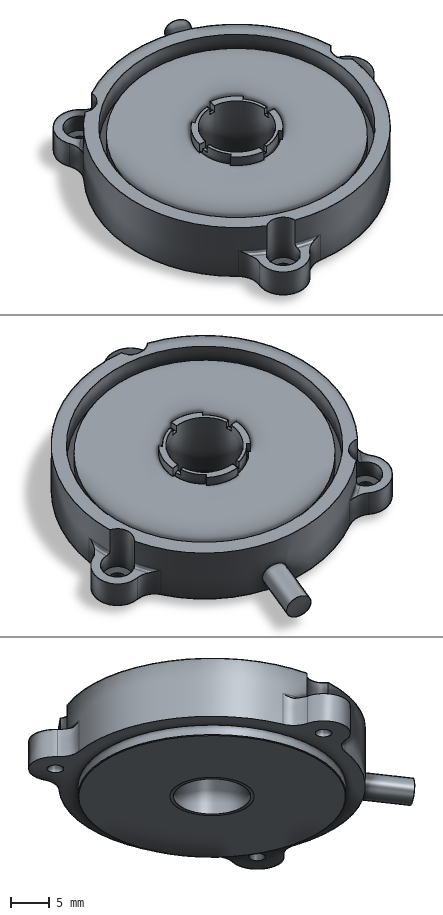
import cadquery as cq
import math

housing_radius = 20.0
housing_top = 10.0
foot_radius = 17.5
foot_height = 1.5
foot_chamfer = 0.1
recess_radius = 18.0
recess_floor = 6.5

lug_count = 3
lug_center_radius = 21.0
lug_radius = 3.5
lug_top = 5.5
lug_blend_radius = 3.0
lug_root_fillet = 0.5
screw_hole_radius = 1.1
counterbore_radius = 2.2
counterbore_floor = 2.95

disc_radius = 17.0
disc_top = 8.4
disc_hole_radius = 5.75

bore_radius = 5.0
hub_radius = 5.5
hub_top = 9.9
tab_radius = 6.0
tab_count = 4
tab_start_angle = -25.0
tab_end_angle = 19.0
slot_end_angle = 28.0
slot_depth = 1.1

cable_radius = 1.8
cable_height = 3.95
cable_end_x = -26.75
cable_inner_x = -recess_radius


def disc_at(radius, bottom, top, x=0.0, y=0.0):
    """Upright cylinder between two heights."""
    return cq.Workplane("XY", origin=(x, y, bottom)).circle(radius).extrude(top - bottom)


def polar(radius, angle):
    """Point at a radius and an angle in degrees."""
    return (radius * math.cos(math.radians(angle)), radius * math.sin(math.radians(angle)))


def ring_sector(inner, outer, start, end, bottom, top):
    """Upright ring segment between two radii, angles and heights."""
    middle = (start + end) / 2
    return (
        cq.Workplane("XY", origin=(0, 0, bottom))
        .moveTo(*polar(inner, start))
        .lineTo(*polar(outer, start))
        .threePointArc(polar(outer, middle), polar(outer, end))
        .lineTo(*polar(inner, end))
        .threePointArc(polar(inner, middle), polar(inner, start))
        .close()
        .extrude(top - bottom)
    )


def lug_outline(height):
    """Prism of one lug on the +X side, blended tangentially into the housing wall."""
    to_housing = housing_radius + lug_blend_radius
    to_lug = lug_radius + lug_blend_radius
    blend_x = (to_housing**2 - to_lug**2 + lug_center_radius**2) / (2 * lug_center_radius)
    blend_y = math.sqrt(to_housing**2 - blend_x**2)

    root_x = blend_x * housing_radius / to_housing
    root_y = blend_y * housing_radius / to_housing
    lug_x = lug_center_radius + (blend_x - lug_center_radius) * lug_radius / to_lug
    lug_y = blend_y * lug_radius / to_lug
    toward_x = (root_x + lug_x) / 2 - blend_x
    toward_y = (root_y + lug_y) / 2 - blend_y
    toward = math.hypot(toward_x, toward_y)
    middle_x = blend_x + toward_x * lug_blend_radius / toward
    middle_y = blend_y + toward_y * lug_blend_radius / toward

    return (
        cq.Workplane("XY", origin=(0, 0, foot_height))
        .moveTo(recess_radius, -root_y)
        .lineTo(root_x, -root_y)
        .threePointArc((middle_x, -middle_y), (lug_x, -lug_y))
        .threePointArc((lug_center_radius + lug_radius, 0), (lug_x, lug_y))
        .threePointArc((middle_x, middle_y), (root_x, root_y))
        .lineTo(recess_radius, root_y)
        .close()
        .extrude(height)
    )


def make_lug():
    """Lug with a concave fillet where its top meets the housing wall."""
    fillet_top = lug_top + lug_root_fillet
    fillet_outer = housing_radius + lug_root_fillet
    arc_offset = lug_root_fillet * math.sqrt(0.5)
    fillet_ring = (
        cq.Workplane("XZ")
        .moveTo(recess_radius, lug_top)
        .lineTo(fillet_outer, lug_top)
        .threePointArc((fillet_outer - arc_offset, fillet_top - arc_offset), (housing_radius, fillet_top))
        .lineTo(recess_radius, fillet_top)
        .close()
        .revolve(360, (0, 0), (0, 1))
    )
    fillet = lug_outline(fillet_top - foot_height).intersect(fillet_ring)
    return lug_outline(lug_top - foot_height).union(fillet)


def make_housing():
    body = disc_at(foot_radius, 0, foot_height).faces("<Z").chamfer(foot_chamfer)
    body = body.union(disc_at(housing_radius, foot_height, housing_top))

    lug = make_lug()
    for i in range(lug_count):
        angle = i * 360 / lug_count
        x, y = polar(lug_center_radius, angle)
        body = body.union(lug.rotate((0, 0, 0), (0, 0, 1), angle))
        body = body.cut(disc_at(counterbore_radius, counterbore_floor, housing_top, x, y))
        body = body.cut(disc_at(screw_hole_radius, foot_height, housing_top, x, y))

    body = body.cut(disc_at(recess_radius, recess_floor, housing_top))
    body = body.cut(disc_at(hub_radius, 0, housing_top))
    return body.cut(make_cable())


def make_disc():
    return disc_at(disc_radius, recess_floor, disc_top).cut(disc_at(disc_hole_radius, recess_floor, disc_top))


def make_hub():
    hub = disc_at(hub_radius, 0, hub_top)
    for i in range(tab_count):
        turn = i * 360 / tab_count
        tab = ring_sector(
            bore_radius, tab_radius, turn + tab_start_angle, turn + tab_end_angle, disc_top, hub_top
        )
        slot = ring_sector(
            bore_radius / 2, tab_radius, turn + tab_end_angle, turn + slot_end_angle, hub_top - slot_depth, hub_top
        )
        hub = hub.union(tab).cut(slot)
    return hub.cut(disc_at(bore_radius, 0, hub_top))


def make_cable():
    return (
        cq.Workplane("YZ", origin=(cable_end_x, 0, cable_height))
        .circle(cable_radius)
        .extrude(cable_inner_x - cable_end_x)
    )


housing = make_housing()
disc = make_disc()
hub = make_hub()
cable = make_cable()

result = cq.Compound.makeCompound([housing.val(), disc.val(), hub.val(), cable.val()])